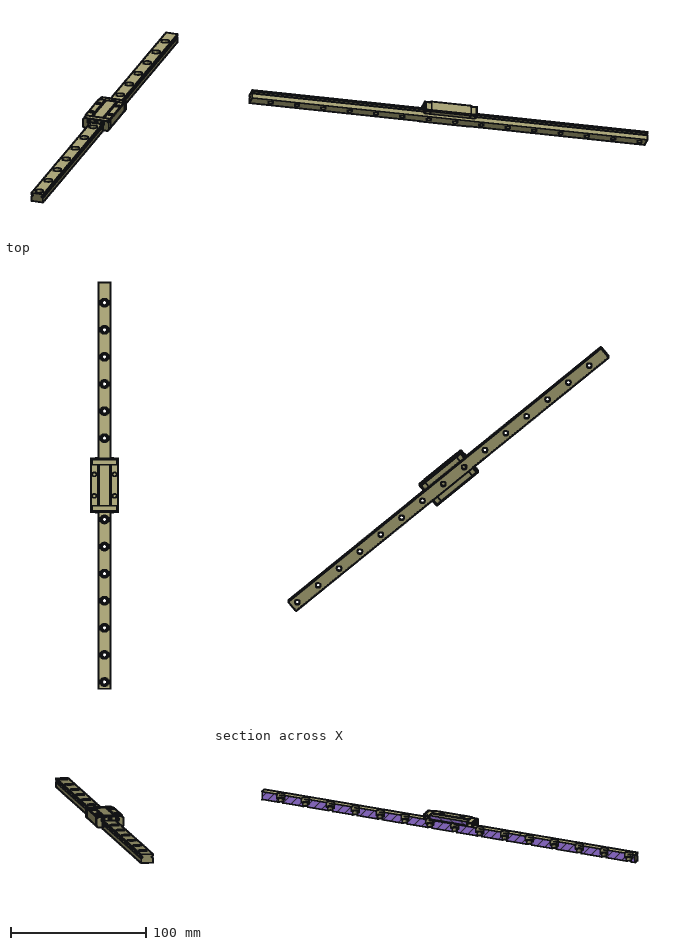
import cadquery as cq

RAIL_LENGTH = 300.0
RAIL_WIDTH = 9.0
RAIL_HEIGHT = 6.5
GROOVE_DEPTH = 1.2
GROOVE_HALF_HEIGHT = 1.0
GROOVE_Z = 4.5
RAIL_HOLE_COUNT = 15
RAIL_HOLE_PITCH = RAIL_LENGTH / RAIL_HOLE_COUNT
RAIL_HOLE_END_GAP = RAIL_HOLE_PITCH / 4
RAIL_HOLE_DIAMETER = 3.5
COUNTERBORE_DIAMETER = 6.0
COUNTERBORE_DEPTH = 3.5

CARRIAGE_Y = 0.3
CARRIAGE_WIDTH = 20.0
BLOCK_TOP = 10.2
CAP_TOP = 10.0
CARRIAGE_BOTTOM = 2.0
BLOCK_LENGTH = 30.0
CAP_LENGTH = 4.0
SEAL_THICKNESS = 1.0
BOTTOM_CHAMFER = 1.0
BLOCK_TOP_CHAMFER = 0.45
CAP_TOP_CHAMFER = 1.05

SIDE_CLEARANCE = 0.3
ROOF_CLEARANCE = 0.35
OPENING_SIDE = RAIL_WIDTH / 2 + SIDE_CLEARANCE
OPENING_ROOF_Z = RAIL_HEIGHT + ROOF_CLEARANCE
SEAL_OPENING_SIDE = 5.7
SEAL_ROOF_HALF_WIDTH = 4.2
SEAL_SHOULDER_Z = 6.0

MOUNT_PITCH_X = 15.0
MOUNT_PITCH_Y = 16.0
MOUNT_HOLE_DIAMETER = 3.0
MOUNT_HOLE_DEPTH = 2.7
TOP_GROOVE_X = 4.5
TOP_GROOVE_WIDTH = 1.0
TOP_GROOVE_DEPTH = 0.3

PORT_Z = 8.5
PORT_DIAMETER = 1.3
PORT_RECESS_DIAMETER = 2.6

SCREW_X = 5.5
SCREW_Z = 7.8
SCREW_HEAD_DIAMETER = 2.6
SCREW_HEAD_HEIGHT = 0.42
SCREW_HEAD_ROUNDING = 0.4
SCREW_SHANK_DIAMETER = 1.3
SCREW_GRIP_IN_BLOCK = 1.8

BLOCK_END = BLOCK_LENGTH / 2
CAP_END = BLOCK_END + CAP_LENGTH
SEAL_END = CAP_END + SEAL_THICKNESS
SCREW_TIP = BLOCK_END - SCREW_GRIP_IN_BLOCK


def bar_along_y(outline, start, end):
    """Extrude an (x, z) outline from y = start to y = end."""
    return (
        cq.Workplane("XZ", origin=(0, start, 0))
        .polyline(outline)
        .close()
        .extrude(start - end)
    )


def rod_along_y(x, z, diameter, start, end):
    """Cylinder parallel to Y from y = start to y = end."""
    return (
        cq.Workplane("XZ", origin=(0, start, 0))
        .center(x, z)
        .circle(diameter / 2)
        .extrude(start - end)
    )


def symmetric_outline(right_half):
    """Close a right-hand list of (x, z) points with its mirror image."""
    return right_half + [(-x, z) for x, z in reversed(right_half)]


def make_rail():
    side = RAIL_WIDTH / 2
    profile = symmetric_outline([
        (side, 0),
        (side, GROOVE_Z - GROOVE_HALF_HEIGHT),
        (side - GROOVE_DEPTH, GROOVE_Z),
        (side, GROOVE_Z + GROOVE_HALF_HEIGHT),
        (side, RAIL_HEIGHT),
    ])
    first_hole_y = RAIL_HOLE_END_GAP - RAIL_LENGTH / 2
    hole_points = [(0, first_hole_y + i * RAIL_HOLE_PITCH) for i in range(RAIL_HOLE_COUNT)]
    return (
        bar_along_y(profile, -RAIL_LENGTH / 2, RAIL_LENGTH / 2)
        .faces(">Z")
        .workplane(origin=(0, 0, 0))
        .pushPoints(hole_points)
        .cboreHole(RAIL_HOLE_DIAMETER, COUNTERBORE_DIAMETER, COUNTERBORE_DEPTH)
    )


def carriage_outline(top, top_chamfer, opening):
    """Saddle outline with chamfered outer corners; opening lists its right-hand (x, z) points downward."""
    side = CARRIAGE_WIDTH / 2
    return symmetric_outline(opening + [
        (side - BOTTOM_CHAMFER, CARRIAGE_BOTTOM),
        (side, CARRIAGE_BOTTOM + BOTTOM_CHAMFER),
        (side, top - top_chamfer),
        (side - top_chamfer, top),
    ])


def cut_screw_holes(body, end_sign):
    """Clear the two screw shanks at the end of the carriage given by end_sign."""
    for x in (-SCREW_X, SCREW_X):
        hole = rod_along_y(x, SCREW_Z, SCREW_SHANK_DIAMETER, end_sign * SCREW_TIP, end_sign * SEAL_END)
        body = body.cut(hole)
    return body


def make_block():
    opening = [
        (OPENING_SIDE, OPENING_ROOF_Z),
        (OPENING_SIDE, GROOVE_Z + GROOVE_HALF_HEIGHT),
        (OPENING_SIDE - GROOVE_DEPTH, GROOVE_Z),
        (OPENING_SIDE, GROOVE_Z - GROOVE_HALF_HEIGHT),
        (OPENING_SIDE, CARRIAGE_BOTTOM),
    ]
    outline = carriage_outline(BLOCK_TOP, BLOCK_TOP_CHAMFER, opening)
    block = bar_along_y(outline, -BLOCK_END, BLOCK_END)
    top = cq.Workplane("XY", origin=(0, 0, BLOCK_TOP))
    mount_holes = (
        top.rarray(MOUNT_PITCH_X, MOUNT_PITCH_Y, 2, 2)
        .circle(MOUNT_HOLE_DIAMETER / 2)
        .extrude(-MOUNT_HOLE_DEPTH)
    )
    grooves = (
        top.pushPoints([(-TOP_GROOVE_X, 0), (TOP_GROOVE_X, 0)])
        .rect(TOP_GROOVE_WIDTH, BLOCK_LENGTH)
        .extrude(-TOP_GROOVE_DEPTH)
    )
    block = block.cut(mount_holes).cut(grooves)
    for end_sign in (-1, 1):
        block = cut_screw_holes(block, end_sign)
    return block


def make_end_cap(end_sign):
    start, end = end_sign * BLOCK_END, end_sign * CAP_END
    opening = [(OPENING_SIDE, OPENING_ROOF_Z), (OPENING_SIDE, CARRIAGE_BOTTOM)]
    cap = bar_along_y(carriage_outline(CAP_TOP, CAP_TOP_CHAMFER, opening), start, end)
    cap = cap.cut(rod_along_y(0, PORT_Z, PORT_DIAMETER, start, end))
    return cut_screw_holes(cap, end_sign)


def make_seal(end_sign):
    start, end = end_sign * CAP_END, end_sign * SEAL_END
    opening = [
        (SEAL_ROOF_HALF_WIDTH, OPENING_ROOF_Z),
        (SEAL_OPENING_SIDE, SEAL_SHOULDER_Z),
        (SEAL_OPENING_SIDE, CARRIAGE_BOTTOM),
    ]
    seal = bar_along_y(carriage_outline(CAP_TOP, CAP_TOP_CHAMFER, opening), start, end)
    seal = seal.cut(rod_along_y(0, PORT_Z, PORT_RECESS_DIAMETER, start, end))
    return cut_screw_holes(seal, end_sign)


def make_screw(x, end_sign):
    """Round-headed screw whose head rests on the seal."""
    head_face = "<Y" if end_sign < 0 else ">Y"
    head_end = SEAL_END + SCREW_HEAD_HEIGHT
    head = (
        rod_along_y(x, SCREW_Z, SCREW_HEAD_DIAMETER, end_sign * SEAL_END, end_sign * head_end)
        .faces(head_face)
        .edges()
        .fillet(SCREW_HEAD_ROUNDING)
    )
    shank = rod_along_y(x, SCREW_Z, SCREW_SHANK_DIAMETER, end_sign * SCREW_TIP, end_sign * SEAL_END)
    return head.union(shank)


carriage_bodies = [make_block()]
for end_sign in (-1, 1):
    carriage_bodies.append(make_end_cap(end_sign))
    carriage_bodies.append(make_seal(end_sign))
    for screw_x in (-SCREW_X, SCREW_X):
        carriage_bodies.append(make_screw(screw_x, end_sign))

rail = make_rail()
carriage_solids = [body.translate((0, CARRIAGE_Y, 0)).val() for body in carriage_bodies]

result = cq.Compound.makeCompound([rail.val(), *carriage_solids])